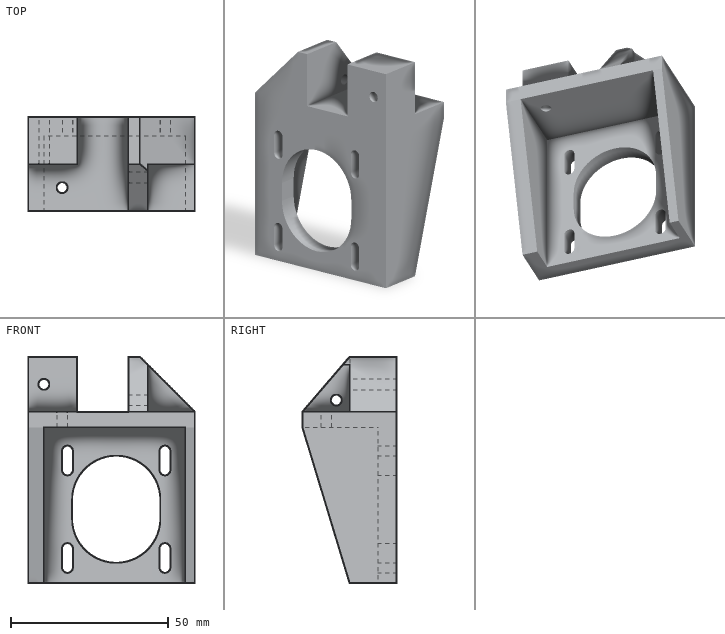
import cadquery as cq

width = 53.0
depth = 30.0
height = 71.95

shelf_top = 54.5
shelf_thickness = 5.0
left_wall_thickness = 5.0
right_wall_thickness = 3.0
shelf_bottom = shelf_top - shelf_thickness
motor_plate_thickness = 6.0
motor_plate_front = depth - motor_plate_thickness

raised_height = height - shelf_top
raised_depth = depth / 2
raised_front = depth - raised_depth
post_width = 15.6
rib_left = 31.85
rib_thickness = 6.25
rib_right = rib_left + rib_thickness
bevel_start = width - raised_height

motor_x = 28.0
motor_z = 23.5
motor_bore = 28.0
motor_bolt_spacing = 31.0
motor_travel = 6.0

screw_diameter = 3.4
post_hole_x = 5.0
post_hole_z = shelf_top + raised_height / 2
shelf_hole_x = 10.8
shelf_hole_y = 7.5
rib_hole_y = 10.8
rib_hole_z = 58.2


def box(x_range, y_range, z_range):
    """Box spanning the given (low, high) limits on each axis."""
    ranges = (x_range, y_range, z_range)
    lengths = [high - low for low, high in ranges]
    corner = tuple(low for low, high in ranges)
    return cq.Workplane("XY").box(*lengths, centered=False).translate(corner)


def prism_along_x(points, left, right):
    """Extrude a (y, z) outline from x = left to x = right."""
    return cq.Workplane("YZ", origin=(left, 0, 0)).polyline(points).close().extrude(right - left)


def prism_along_y(points, front, back):
    """Extrude an (x, z) outline from y = front to y = back."""
    return cq.Workplane("XZ", origin=(0, front, 0)).polyline(points).close().extrude(front - back)


def front_plane():
    """Sketch plane at y = 0; a negative extrusion goes toward +Y."""
    return cq.Workplane("XZ")


def make_bracket():
    """Shelf, motor plate and the two tapered side walls."""
    side_outline = [
        (depth, 0),
        (raised_front, 0),
        (0, shelf_bottom),
        (0, shelf_top),
        (depth, shelf_top),
    ]
    shelf = box((0, width), (0, depth), (shelf_bottom, shelf_top))
    motor_plate = box((0, width), (motor_plate_front, depth), (0, shelf_top))
    left_wall = prism_along_x(side_outline, 0, left_wall_thickness)
    right_wall = prism_along_x(side_outline, width - right_wall_thickness, width)
    return shelf.union(motor_plate).union(left_wall).union(right_wall)


def make_post():
    """Square post at the rear left of the shelf."""
    return box((0, post_width), (raised_front, depth), (shelf_top, height))


def make_support():
    """Beveled block at the rear right, with a sloped rib running to the front edge."""
    bevel_outline = [
        (rib_left, shelf_top),
        (rib_left, height),
        (bevel_start, height),
        (width, shelf_top),
    ]
    rib_outline = [
        (0, shelf_top),
        (raised_front, height),
        (depth, height),
        (depth, shelf_top),
    ]
    block = prism_along_y(bevel_outline, raised_front, depth)
    rib = prism_along_x(rib_outline, rib_left, rib_right)
    beveled_rib = rib.intersect(prism_along_y(bevel_outline, 0, depth))
    return block.union(beveled_rib)


def vertical_slot(x, z, slot_width):
    """Slot cutter running along Y, lengthened in Z by the motor travel."""
    return (
        front_plane()
        .center(x, z)
        .slot2D(slot_width + motor_travel, slot_width, 90)
        .extrude(-depth)
    )


def cut_motor_mount(body):
    """Motor bore and its four bolt slots."""
    body = body.cut(vertical_slot(motor_x, motor_z, motor_bore))
    offset = motor_bolt_spacing / 2
    for x in (motor_x - offset, motor_x + offset):
        for z in (motor_z - offset, motor_z + offset):
            body = body.cut(vertical_slot(x, z, screw_diameter))
    return body


def cut_screw_holes(body):
    """One through hole each in the post, the shelf and the rib."""
    radius = screw_diameter / 2
    post_hole = front_plane().center(post_hole_x, post_hole_z).circle(radius).extrude(-depth)
    shelf_hole = cq.Workplane("XY").center(shelf_hole_x, shelf_hole_y).circle(radius).extrude(height)
    rib_hole = cq.Workplane("YZ").center(rib_hole_y, rib_hole_z).circle(radius).extrude(width)
    return body.cut(post_hole).cut(shelf_hole).cut(rib_hole)


body = make_bracket().union(make_post()).union(make_support())
body = cut_motor_mount(body)
result = cut_screw_holes(body)